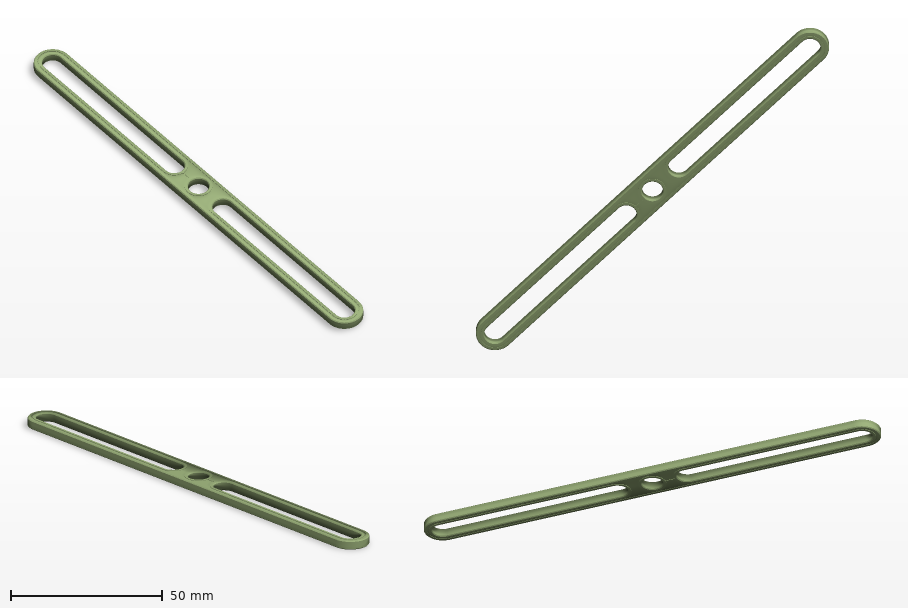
import cadquery as cq

length = 162.5
width = 12.5
thickness = 3.1

opening_width = 7.0
rim_width = 1.1
recess_depth = 0.2
rib_width = 0.2
edge_chamfer = 0.3

slot_inner_arc = width
slot_outer_arc = (length - width) / 2
slot_length = slot_outer_arc - slot_inner_arc + opening_width
slot_center = (slot_outer_arc + slot_inner_arc) / 2


def bar(inset, height):
    """Round-ended bar whose outline is moved inward by inset."""
    return cq.Workplane("XY").slot2D(length - 2 * inset, width - 2 * inset).extrude(height)


def openings(margin, height):
    """Middle hole and both slots, widened by margin all around."""
    hole = cq.Workplane("XY").circle(opening_width / 2 + margin).extrude(height)
    slots = (
        cq.Workplane("XY")
        .pushPoints([(-slot_center, 0), (slot_center, 0)])
        .slot2D(slot_length + 2 * margin, opening_width + 2 * margin)
        .extrude(height)
    )
    return hole.union(slots)


def rib():
    """Thin rib bridging the web from the rim of the -X slot to the rim of the hole."""
    rib_length = slot_inner_arc - opening_width / 2
    return (
        cq.Workplane("XY")
        .center(-rib_length / 2, 0)
        .rect(rib_length, rib_width)
        .extrude(recess_depth)
    )


def recess():
    """Shallow pocket between the outer rim and the rims of the openings, crossed by the rib."""
    pocket = bar(rim_width, recess_depth).cut(openings(rim_width, recess_depth))
    return pocket.cut(rib())


plate = bar(0, thickness).cut(openings(0, thickness))
plate = plate.faces("<Z or >Z").edges().chamfer(edge_chamfer)

result = plate
for recess_bottom in (0, thickness - recess_depth):
    result = result.cut(recess().translate((0, 0, recess_bottom)))